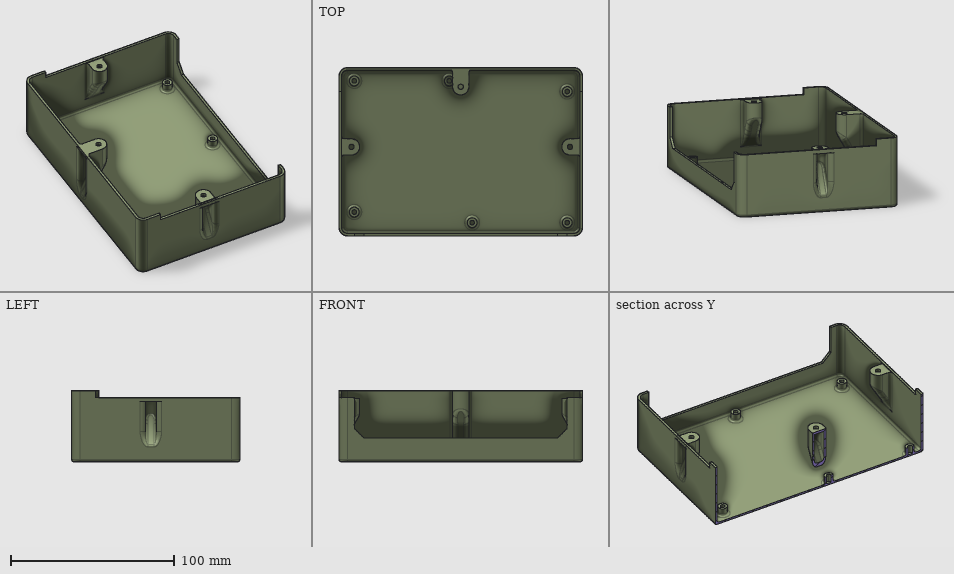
import cadquery as cq
import math

LENGTH = 149.2
WIDTH = 103.2
HEIGHT = 43.6
WALL = 1.6
FLOOR = 1.6
CORNER_RADIUS = 5.3
BOTTOM_EDGE = 1.6
FLOOR_FILLET = WALL

LOW_RIM_Z = 39.4
STEP_Y = 37.0

OPENING_HALF_WIDTH = 65.2
OPENING_Z = 14.7
OPENING_CHAMFER = 5.8

LUG_HALF_WIDTH = 5.0
LUG_HOLE_DIAMETER = 3.2
LUG_TOP_THICKNESS = 2.0
RAMP_ANGLE = 60.0
INNER_BEND = WALL
OUTER_BEND = 2 * WALL
SIDE_LUG_TOP = 38.9
SIDE_LUG_CENTRE = 7.7
SIDE_LUG_RAMP_Z = 10.0
SIDE_LUG_Y = 3.0
BACK_LUG_CENTRE = 11.8
BACK_LUG_RAMP_Z = 5.7
LUG_CLEARANCE = 10.0

POST_DIAMETER = 6.0
POST_HOLE_DIAMETER = 2.85
POST_TOP = 7.0
POST_FILLET = 1.6
POST_POSITIONS = [
    (-65.2, 43.4),
    (-7.0, 43.4),
    (65.2, 36.9),
    (-65.2, -36.9),
    (7.0, -43.4),
    (65.2, -43.4),
]

RAMP_SLOPE = math.tan(math.radians(RAMP_ANGLE))
RAMP_DROP = WALL / math.cos(math.radians(RAMP_ANGLE))
TOLERANCE = 0.01


def tray():
    """Open box with rounded corners and an even wall."""
    outer = cq.Workplane("XY").box(LENGTH, WIDTH, HEIGHT, centered=(True, True, False))
    outer = outer.edges("|Z").fillet(CORNER_RADIUS)
    outer = outer.faces("<Z").edges().fillet(BOTTOM_EDGE)
    inner = cq.Workplane("XY").workplane(offset=FLOOR)
    inner = inner.box(LENGTH - 2 * WALL, WIDTH - 2 * WALL, HEIGHT, centered=(True, True, False))
    inner = inner.edges("|Z").fillet(CORNER_RADIUS - WALL)
    inner = inner.faces("<Z").edges().fillet(FLOOR_FILLET)
    return outer.cut(inner)


def u_column(centre, half_width, start, top):
    """Upright column from x = start to a round end about x = centre, running from far below up to top."""
    return (
        cq.Workplane("XY", origin=(0, 0, -HEIGHT))
        .moveTo(start, -half_width)
        .lineTo(centre, -half_width)
        .threePointArc((centre + half_width, 0), (centre, half_width))
        .lineTo(start, half_width)
        .close()
        .extrude(top + HEIGHT)
    )


def trim_below_ramp(column, ramp_z):
    """Cut a column off below a ramp that rises toward +X and meets x = 0 at ramp_z."""
    below = (
        cq.Workplane("XZ")
        .moveTo(-HEIGHT, ramp_z - RAMP_SLOPE * HEIGHT)
        .lineTo(HEIGHT, ramp_z + RAMP_SLOPE * HEIGHT)
        .lineTo(HEIGHT, -3 * HEIGHT)
        .lineTo(-HEIGHT, -3 * HEIGHT)
        .close()
        .extrude(HEIGHT, both=True)
    )
    return column.cut(below)


def round_ramp_edge(column, radius):
    """Round the edge where a ramp meets the sides of its column, starting from the edge at the tip."""
    ramp_direction = cq.selectors.ParallelDirSelector(cq.Vector(RAMP_SLOPE, 0, -1))
    return column.faces(ramp_direction).edges(">X").fillet(radius)


def outline_on_plane(x, half_width, top):
    """Selector for the sides and bottom of a lug outline on the plane at x, without its top edge."""
    return cq.selectors.BoxSelector(
        (x - TOLERANCE, -half_width - TOLERANCE, -HEIGHT - TOLERANCE),
        (x + TOLERANCE, half_width + TOLERANCE, top - TOLERANCE),
    )


def ramp_edge_waste(column, ramp_z, top):
    """Material outside the rounded ramp edge of a lug, from its tip to where its flanks flare into the wall."""
    slab_size = 2 * LUG_CLEARANCE
    slab = cq.Workplane("XY", origin=(WALL - slab_size, 0, -HEIGHT))
    slab = slab.box(slab_size, slab_size, top + HEIGHT, centered=(False, True, False))
    flared = slab.union(column)
    flared = flared.edges(outline_on_plane(WALL, LUG_HALF_WIDTH, top)).edges("|Z").fillet(INNER_BEND)
    flared = trim_below_ramp(flared, ramp_z)
    waste = flared.cut(round_ramp_edge(flared, OUTER_BEND))
    return waste.cut(slab)


def add_lug(body, angle, wall_distance, offset, centre, top, ramp_z):
    """Add one hollow lug to the wall at wall_distance; angle is the direction in which the lug reaches."""
    body = body.rotate((0, 0, 0), (0, 0, 1), -angle).translate((wall_distance, -offset, 0))

    column = u_column(centre, LUG_HALF_WIDTH, WALL / 2, top)
    lug_ramp_z = ramp_z - RAMP_DROP
    body = body.union(trim_below_ramp(column, lug_ramp_z))
    body = body.edges(outline_on_plane(WALL, LUG_HALF_WIDTH, top)).fillet(INNER_BEND)
    body = body.cut(ramp_edge_waste(column, lug_ramp_z, top))

    recess_half_width = LUG_HALF_WIDTH - WALL
    recess_top = top - LUG_TOP_THICKNESS
    recess = trim_below_ramp(u_column(centre, recess_half_width, -WALL, recess_top), ramp_z)
    body = body.cut(round_ramp_edge(recess, INNER_BEND))
    body = body.edges(outline_on_plane(0, recess_half_width, recess_top)).fillet(OUTER_BEND)

    hole = cq.Workplane("XY", origin=(centre, 0, recess_top - WALL))
    hole = hole.circle(LUG_HOLE_DIAMETER / 2).extrude(HEIGHT)
    body = body.cut(hole)
    return body.translate((-wall_distance, offset, 0)).rotate((0, 0, 0), (0, 0, 1), angle)


def add_lugs(body):
    """Add a lug to the left, right and back walls."""
    side = LENGTH / 2
    back = WIDTH / 2
    body = add_lug(body, 0, side, SIDE_LUG_Y, SIDE_LUG_CENTRE, SIDE_LUG_TOP, SIDE_LUG_RAMP_Z)
    body = add_lug(body, 180, side, -SIDE_LUG_Y, SIDE_LUG_CENTRE, SIDE_LUG_TOP, SIDE_LUG_RAMP_Z)
    return add_lug(body, -90, back, 0, BACK_LUG_CENTRE, HEIGHT, BACK_LUG_RAMP_Z)


def lower_rim(body):
    """Lower the rim of the front and of both sides up to the step."""
    depth = STEP_Y + WIDTH / 2
    above = cq.Workplane("XY").box(LENGTH, depth, HEIGHT, centered=(True, False, False))
    return body.cut(above.translate((0, -WIDTH / 2, LOW_RIM_Z)))


def cut_front_opening(body):
    """Open the front wall from the rim down, with chamfered lower corners."""
    inset = OPENING_HALF_WIDTH - OPENING_CHAMFER
    shoulder = OPENING_Z + OPENING_CHAMFER
    opening = (
        cq.Workplane("XZ", origin=(0, WALL - WIDTH / 2, 0))
        .moveTo(-OPENING_HALF_WIDTH, HEIGHT)
        .lineTo(-OPENING_HALF_WIDTH, shoulder)
        .lineTo(-inset, OPENING_Z)
        .lineTo(inset, OPENING_Z)
        .lineTo(OPENING_HALF_WIDTH, shoulder)
        .lineTo(OPENING_HALF_WIDTH, HEIGHT)
        .close()
        .extrude(2 * WALL)
    )
    return body.cut(opening)


def floor_post():
    """Flared post turned about Z, with a blind screw hole down to the floor."""
    radius = POST_DIAMETER / 2
    hole_radius = POST_HOLE_DIAMETER / 2
    foot = FLOOR + POST_FILLET
    diagonal = POST_FILLET * (1 - math.sqrt(0.5))
    return (
        cq.Workplane("XZ")
        .moveTo(hole_radius, FLOOR / 2)
        .lineTo(radius + POST_FILLET, FLOOR / 2)
        .lineTo(radius + POST_FILLET, FLOOR)
        .threePointArc((radius + diagonal, FLOOR + diagonal), (radius, foot))
        .lineTo(radius, POST_TOP)
        .lineTo(hole_radius, POST_TOP)
        .close()
        .revolve(360, (0, 0), (0, 1))
    )


def add_floor_posts(body):
    """Stand a post on the floor at every post position."""
    for x, y in POST_POSITIONS:
        body = body.union(floor_post().translate((x, y, 0)))
    return body


result = add_floor_posts(cut_front_opening(add_lugs(lower_rim(tray()))))